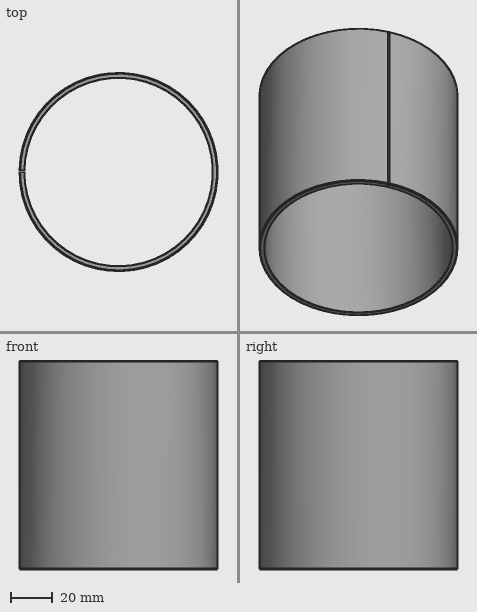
import cadquery as cq

outer_diameter = 95.0
wall_thickness = 2.5
length = 100.0
outer_chamfer = 0.5
inner_chamfer = 0.2
seam_gap_angle = 1.0

outer_radius = outer_diameter / 2
inner_radius = outer_radius - wall_thickness


def make_wall_section():
    """Wall profile in the XZ plane at -X, with both ends chamfered outside and in the bore."""
    return (
        cq.Workplane("XZ")
        .moveTo(-inner_radius, inner_chamfer)
        .lineTo(-inner_radius - inner_chamfer, 0)
        .lineTo(-outer_radius + outer_chamfer, 0)
        .lineTo(-outer_radius, outer_chamfer)
        .lineTo(-outer_radius, length - outer_chamfer)
        .lineTo(-outer_radius + outer_chamfer, length)
        .lineTo(-inner_radius - inner_chamfer, length)
        .lineTo(-inner_radius, length - inner_chamfer)
        .close()
    )


def make_split_sleeve():
    """Wall swept counter-clockwise about Z from -X, leaving a narrow seam gap on the +Y side."""
    axis_start = (0, 0, 0)
    axis_end = (0, 1, 0)
    return make_wall_section().revolve(360 - seam_gap_angle, axis_start, axis_end)


result = make_split_sleeve()